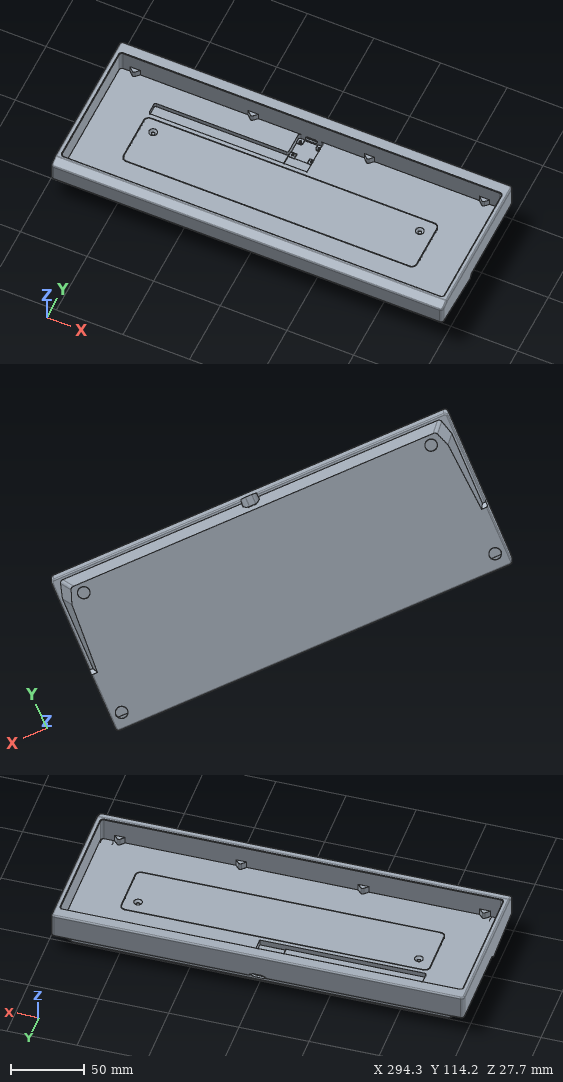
import cadquery as cq
import math


LENGTH = 294.3
WIDTH = 114.2
HEIGHT = 27.7
FRONT_Y = -WIDTH / 2
REAR_Y = WIDTH / 2
CORNER_RADIUS = 2.5
EDGE_RADIUS = 1.03
FRONT_BEVEL_RUN = 7.0
FRONT_BEVEL_DROP = 3.0

TILT = 5.5
TILT_SLOPE = math.tan(math.radians(TILT))
FOOT_REAR_INSET = 8.2
FOOT_TOP_Z = 9.0
FOOT_TOP_INSET = 2.6
FOOT_CORNER_CUT_X = 3.5
FOOT_CORNER_CUT_Y = 12.0
FOOT_CORNER_RADIUS = 3.0
FOOT_FLARE = (FOOT_REAR_INSET - FOOT_TOP_INSET) / FOOT_TOP_Z
RELIEF_LENGTH = 67.5
RELIEF_FRONT_Y = REAR_Y - RELIEF_LENGTH
FOOT_OVERLAP = 11.8

PAD_DIAMETER = 8.5
PAD_DEPTH = 0.5
FRONT_PAD_X = 138.5
FRONT_PAD_Y = -46.0
REAR_PAD_X = 129.0
REAR_PAD_Y = 41.8

FLOOR_Z = 10.3
TRAY_LENGTH = 286.6
TRAY_WIDTH = 96.2
TRAY_REAR_Y = TRAY_WIDTH / 2
TRAY_CORNER_RADIUS = 2.0
TRAY_RIM_CHAMFER = 0.45

TAB_REACH = 3.8
TAB_HEIGHT = 5.0
TAB_TIP_RADIUS = 1.5
TAB_INNER_X = 43.5
TAB_OUTER_X = 130.0
REAR_LEFT_TAB_X = -132.0
FRONT_TABS_X = [-TAB_OUTER_X, -TAB_INNER_X, TAB_INNER_X, TAB_OUTER_X]
REAR_TABS_X = [REAR_LEFT_TAB_X, -TAB_INNER_X, TAB_INNER_X, TAB_OUTER_X]

CHANNEL_LEFT_X = -109.5
CHANNEL_FRONT_Y = 21.0
CHANNEL_REAR_Y = 30.5
CHANNEL_Z = 6.8
CHANNEL_CORNER_RADIUS = 1.2
BAY_LENGTH = 18.5
BAY_LEDGE_Z = 6.0
BAY_Z = 4.7
BAY_CORNER_RADIUS = 1.5
POST_SIZE = 4.5
POST_ROUND = 1.8
POST_TOP_Z = 5.5
POST_HOLE_DIAMETER = 1.62
POST_HOLE_X = 7.0
POST_HOLE_FRONT_Y = 33.3
POST_HOLE_REAR_Y = 45.5
PORT_WIDTH = 8.8
PORT_HEIGHT = 3.5
PORT_Z = 8.0
PORT_WALL = 1.5
PLUG_WIDTH = 12.5
PLUG_HEIGHT = 7.7

PLATE_LENGTH = 219.5
PLATE_WIDTH = 39.7
PLATE_THICKNESS = 2.0
PLATE_Y = -2.5
PLATE_RADIUS = 3.5
PLATE_GAP = 0.45
SCREW_X = 100.0
SCREW_Y = 7.7
SCREW_DIAMETER = 2.53
SCREW_HEAD_DIAMETER = 6.0
SCREW_HEAD_ANGLE = 90


def box(x_min, x_max, y_min, y_max, z_min, z_max):
    """Axis-aligned block between the given limits."""
    size = (x_max - x_min, y_max - y_min, z_max - z_min)
    return cq.Workplane("XY").box(*size, centered=False).translate((x_min, y_min, z_min))


def underside_z(y):
    """Height of the tilted underside at a given Y."""
    return (REAR_Y - FOOT_REAR_INSET - y) * TILT_SLOPE


def foot_outline(z):
    """Foot outline at a given height, with a flat cut of constant size across each rear corner."""
    inset = FOOT_REAR_INSET - z * FOOT_FLARE
    half_length = LENGTH / 2 - inset
    front_y = RELIEF_FRONT_Y - FOOT_OVERLAP
    rear_y = REAR_Y - inset
    return [
        cq.Vector(-half_length, front_y, z),
        cq.Vector(half_length, front_y, z),
        cq.Vector(half_length, rear_y - FOOT_CORNER_CUT_Y, z),
        cq.Vector(half_length - FOOT_CORNER_CUT_X, rear_y, z),
        cq.Vector(FOOT_CORNER_CUT_X - half_length, rear_y, z),
        cq.Vector(-half_length, rear_y - FOOT_CORNER_CUT_Y, z),
    ]


def make_foot():
    """Foot tapered down from the flat underside and cut off along the tilted underside."""
    outlines = [cq.Wire.makePolygon(foot_outline(z), close=True) for z in (FOOT_TOP_Z, underside_z(REAR_Y))]
    foot = cq.Workplane("XY").add(cq.Solid.makeLoft(outlines, True))
    foot = foot.edges("not #Z").edges(">Y").fillet(FOOT_CORNER_RADIUS)
    front_y = RELIEF_FRONT_Y - FOOT_OVERLAP
    tilted_profile = [
        (front_y, underside_z(front_y)),
        (REAR_Y, underside_z(REAR_Y)),
        (REAR_Y, FOOT_TOP_Z),
        (front_y, FOOT_TOP_Z),
    ]
    tilted_block = cq.Workplane("YZ").polyline(tilted_profile).close().extrude(LENGTH / 2, both=True)
    return foot.intersect(tilted_block)


def make_body():
    """Rounded block with a tilted underside, standing on a tapered foot at the rear."""
    step_drop = (FOOT_TOP_Z - underside_z(RELIEF_FRONT_Y)) / (1 + TILT_SLOPE)
    step_foot_y = RELIEF_FRONT_Y - step_drop
    profile = [
        (FRONT_Y, underside_z(FRONT_Y)),
        (step_foot_y, underside_z(step_foot_y)),
        (RELIEF_FRONT_Y, FOOT_TOP_Z),
        (REAR_Y, FOOT_TOP_Z),
        (REAR_Y, HEIGHT),
        (FRONT_Y + FRONT_BEVEL_RUN, HEIGHT),
        (FRONT_Y, HEIGHT - FRONT_BEVEL_DROP),
    ]
    block = cq.Workplane("YZ").polyline(profile).close().extrude(LENGTH / 2, both=True)
    block = block.edges("|Z").fillet(CORNER_RADIUS)
    step_edges = cq.selectors.BoxSelector(
        (-LENGTH, step_foot_y - step_drop, 0),
        (LENGTH, RELIEF_FRONT_Y + step_drop, FOOT_TOP_Z + step_drop),
    )
    level_edges = cq.selectors.StringSyntaxSelector("not |Z")
    block = block.edges(level_edges - step_edges).fillet(EDGE_RADIUS)
    return block.union(make_foot())


def make_pad_recesses():
    """Shallow round recesses, square to the tilted underside."""
    normal = cq.Vector(0, math.sin(math.radians(TILT)), math.cos(math.radians(TILT)))
    places = [(FRONT_PAD_X, FRONT_PAD_Y), (REAR_PAD_X, REAR_PAD_Y)]
    recesses = cq.Workplane("XY")
    for pad_x, y in places:
        for x in (-pad_x, pad_x):
            centre = cq.Vector(x, y, underside_z(y))
            start = centre - normal * PAD_DEPTH
            recess = cq.Solid.makeCylinder(PAD_DIAMETER / 2, 2 * PAD_DEPTH, start, normal)
            recesses = recesses.add(recess)
    return recesses.combine()


def rounded_prism(z_start, height, taper=0):
    """Tray outline with rounded corners, extruded upwards; a negative taper flares it."""
    return (
        cq.Workplane("XY", origin=(0, 0, z_start))
        .rect(TRAY_LENGTH - 2 * TRAY_CORNER_RADIUS, TRAY_WIDTH - 2 * TRAY_CORNER_RADIUS)
        .offset2D(TRAY_CORNER_RADIUS)
        .extrude(height, taper=taper)
    )


def make_tray_cavity():
    """Tray opening, flared at the rim by a small chamfer."""
    cavity = rounded_prism(FLOOR_Z, HEIGHT - FLOOR_Z)
    rim = rounded_prism(HEIGHT - TRAY_RIM_CHAMFER, TRAY_RIM_CHAMFER, taper=-45)
    return cavity.union(rim)


def make_tab(x, side):
    """Triangular tab with a rounded tip; side is +1 at the rear wall and -1 at the front wall."""
    wall_y = side * TRAY_WIDTH / 2
    tip_y = wall_y - side * TAB_REACH
    outline = [(x - TAB_REACH, wall_y), (x + TAB_REACH, wall_y), (x, tip_y)]
    tab = cq.Workplane("XY", origin=(0, 0, FLOOR_Z)).polyline(outline).close().extrude(TAB_HEIGHT)
    tip_edge = "<Y" if side > 0 else ">Y"
    return tab.edges("|Z").edges(tip_edge).fillet(TAB_TIP_RADIUS)


def make_bay_cavity():
    """Cable channel, board ledge and deeper connector bay, sunk into the floor."""
    half = BAY_LENGTH / 2
    channel = box(CHANNEL_LEFT_X, half, CHANNEL_FRONT_Y, CHANNEL_REAR_Y, CHANNEL_Z, FLOOR_Z)
    channel = channel.edges("|Z and <X").fillet(CHANNEL_CORNER_RADIUS)
    ledge = box(-half, half, CHANNEL_FRONT_Y, CHANNEL_REAR_Y, BAY_LEDGE_Z, FLOOR_Z)
    bay = box(-half, half, CHANNEL_REAR_Y, TRAY_REAR_Y, BAY_Z, FLOOR_Z)
    bay = bay.edges("|Z and >Y").fillet(BAY_CORNER_RADIUS)
    cavity = channel.union(ledge).union(bay)
    inner_corner = cq.selectors.NearestToPointSelector((-half, CHANNEL_REAR_Y, FLOOR_Z))
    return cavity.edges("|Z").edges(inner_corner).fillet(CHANNEL_CORNER_RADIUS)


def make_post(side, at_rear):
    """Board post in one corner of the bay, with a screw hole."""
    wall_x = side * BAY_LENGTH / 2
    inner_x = wall_x - side * POST_SIZE
    y_min = TRAY_REAR_Y - POST_SIZE if at_rear else CHANNEL_REAR_Y
    x_min = min(wall_x, inner_x)
    post = box(x_min, x_min + POST_SIZE, y_min, y_min + POST_SIZE, BAY_Z, POST_TOP_Z)
    if at_rear:
        inner_edge = "<X" if side > 0 else ">X"
        post = post.edges("|Z").edges("<Y").edges(inner_edge).fillet(POST_ROUND)
    hole_y = POST_HOLE_REAR_Y if at_rear else POST_HOLE_FRONT_Y
    hole = (
        cq.Workplane("XY", origin=(side * POST_HOLE_X, hole_y, BAY_Z))
        .circle(POST_HOLE_DIAMETER / 2)
        .extrude(POST_TOP_Z - BAY_Z)
    )
    return post.cut(hole)


def rear_slot(width, height, y_start):
    """Round-ended slot at the port height, running from y_start out through the rear."""
    return (
        cq.Workplane("XZ", origin=(0, y_start, PORT_Z))
        .slot2D(width, height)
        .extrude(y_start - REAR_Y)
    )


def make_port():
    """Connector opening from the bay into a wider plug recess in the rear."""
    opening = rear_slot(PORT_WIDTH, PORT_HEIGHT, TRAY_REAR_Y)
    plug_recess = rear_slot(PLUG_WIDTH, PLUG_HEIGHT, TRAY_REAR_Y + PORT_WALL)
    return opening.union(plug_recess)


def make_plate_blank(gap):
    """Rounded plate outline, grown by a gap all round, sunk flush with the floor."""
    return (
        cq.Workplane("XY", origin=(0, PLATE_Y, FLOOR_Z))
        .rect(PLATE_LENGTH + 2 * gap, PLATE_WIDTH + 2 * gap)
        .extrude(-PLATE_THICKNESS)
        .edges("|Z").fillet(PLATE_RADIUS + gap)
    )


def make_case():
    case = make_body().cut(make_pad_recesses())
    case = case.cut(make_tray_cavity()).cut(make_bay_cavity())
    for x in FRONT_TABS_X:
        case = case.union(make_tab(x, -1))
    for x in REAR_TABS_X:
        case = case.union(make_tab(x, 1))
    for side in (-1, 1):
        for at_rear in (False, True):
            case = case.union(make_post(side, at_rear))
    return case.cut(make_port()).cut(make_plate_blank(PLATE_GAP))


def make_plate():
    screws = [(-SCREW_X, SCREW_Y), (SCREW_X, SCREW_Y)]
    return (
        make_plate_blank(0)
        .copyWorkplane(cq.Workplane("XY", origin=(0, 0, FLOOR_Z)))
        .pushPoints(screws)
        .cskHole(SCREW_DIAMETER, SCREW_HEAD_DIAMETER, SCREW_HEAD_ANGLE)
    )


case = make_case()
plate = make_plate()
result = cq.Compound.makeCompound([case.val(), plate.val()])